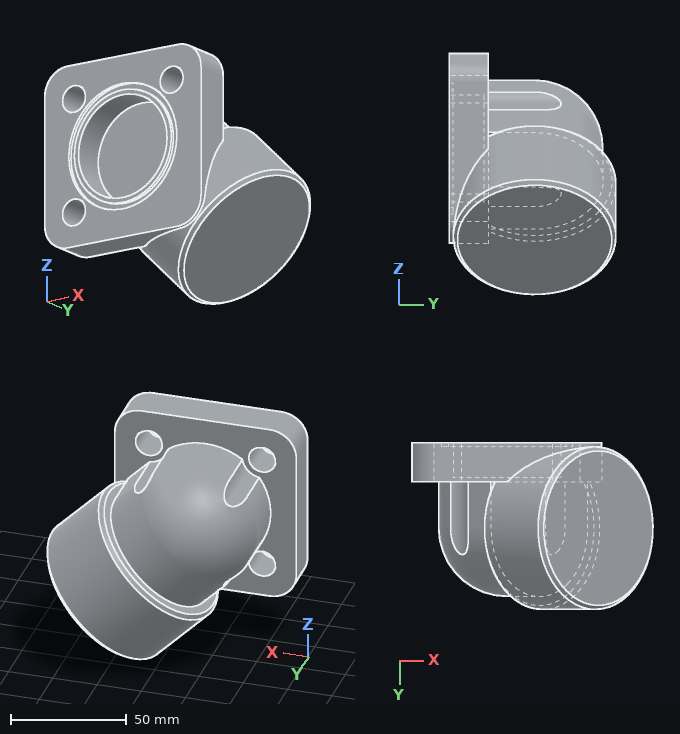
import cadquery as cq
import math

flange_side = 82.0
flange_thickness = 17.0
flange_corner_radius = 12.0

bolt_spacing = 51.2
bolt_hole_diameter = 12.0
bolt_clearance_radius = 9.0

bore_diameter = 46.4
bore_depth = 15.0
groove_inner_diameter = 50.8
groove_outer_diameter = 56.6
groove_depth = 1.6

body_radius = 29.5
elbow_height = 37.0
outlet_drop_angle = 45.0

collar_radius = 35.15
collar_start = 19.75
collar_end = 55.96
collar_chamfer = 1.75

half_pitch = bolt_spacing / 2
bolt_points = [(-half_pitch, -half_pitch), (-half_pitch, half_pitch), (half_pitch, half_pitch)]
inlet_axis = cq.Vector(0, 1, 0)


def y_cylinder(x, z, radius, y_start, y_end):
    """Cylinder parallel to the Y axis between two Y positions."""
    base = cq.Vector(x, y_start, z)
    return cq.Workplane(obj=cq.Solid.makeCylinder(radius, y_end - y_start, base, inlet_axis))


def turn_to_outlet(shape):
    """Swing a shape built along +X about the Y axis onto the outlet axis."""
    return shape.rotate((0, 0, 0), (0, 1, 0), outlet_drop_angle)


def make_flange():
    plate = cq.Workplane("XY").box(flange_side, flange_thickness, flange_side, centered=(True, False, True))
    return plate.edges("|Y").fillet(flange_corner_radius)


def make_domed_neck():
    """Inlet neck ending in a hemispherical dome, turned about the Y axis."""
    dome_offset = body_radius * math.sqrt(0.5)
    profile = (
        cq.Workplane("XY")
        .lineTo(-body_radius, 0)
        .lineTo(-body_radius, elbow_height)
        .threePointArc((-dome_offset, elbow_height + dome_offset), (0, elbow_height + body_radius))
        .close()
    )
    return profile.revolve(360, (0, 0, 0), (0, 1, 0))


def make_outlet_neck():
    """Neck with a half-round back and flat sides running down to the flange."""
    profile = (
        cq.Workplane("YZ")
        .moveTo(0, -body_radius)
        .lineTo(elbow_height, -body_radius)
        .threePointArc((elbow_height + body_radius, 0), (elbow_height, body_radius))
        .lineTo(0, body_radius)
        .close()
    )
    return turn_to_outlet(profile.extrude(collar_start))


def cut_bolt_flutes(body):
    flute_end = elbow_height + body_radius
    for x, z in bolt_points:
        body = body.cut(y_cylinder(x, z, bolt_clearance_radius, 0, flute_end))
    return body


def make_collar():
    collar = (
        cq.Workplane("YZ", origin=(collar_start, elbow_height, 0))
        .circle(collar_radius)
        .extrude(collar_end - collar_start)
        .edges("%CIRCLE")
        .chamfer(collar_chamfer)
    )
    return turn_to_outlet(collar)


def cut_bolt_holes(part):
    for x, z in bolt_points:
        part = part.cut(y_cylinder(x, z, bolt_hole_diameter / 2, 0, flange_thickness))
    return part


def make_seal_groove():
    outer = y_cylinder(0, 0, groove_outer_diameter / 2, 0, groove_depth)
    core = y_cylinder(0, 0, groove_inner_diameter / 2, 0, groove_depth)
    return outer.cut(core)


fluted_body = cut_bolt_flutes(make_domed_neck().union(make_outlet_neck()))
elbow = make_flange().union(fluted_body).union(make_collar())
elbow = cut_bolt_holes(elbow)
elbow = elbow.cut(make_seal_groove())
result = elbow.cut(y_cylinder(0, 0, bore_diameter / 2, 0, bore_depth))